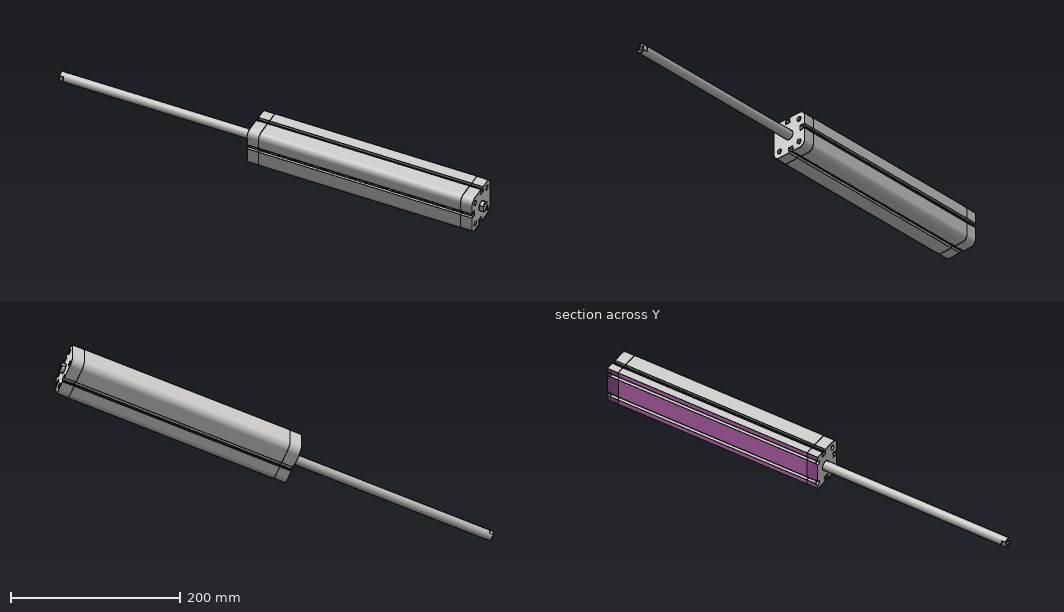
import cadquery as cq

rod_reach = 256.0
cap_length = 15.0
profile_length = 265.0
drive_end_length = 5.5

width = 50.0
half_width = width / 2
profile_corner_radius = 8.0
cap_corner_radius = 8.5

slot_mouth_width = 5.5
slot_channel_width = 6.5
slot_lip = 4.0
slot_depth = 7.0
slot_offset = 2.5
slot_turns = (0, 90, 180)

screw_spacing = 31.5
screw_hole_diameter = 4.0
screw_head_diameter = 6.0
screw_head_depth = 3.5

rod_diameter = 12.0
rod_radius = rod_diameter / 2
flat_spacing = 9.5
tip_flat_length = 5.5
rod_chamfer = 0.5
center_hole_diameter = 5.5
center_hole_depth = 11.0

rod_tip_x = -rod_reach
front_cap_x = 0.0
profile_x = front_cap_x + cap_length
rear_cap_x = profile_x + profile_length
housing_end_x = rear_cap_x + cap_length
rod_end_x = housing_end_x + drive_end_length


def plane_at(x):
    """Plane facing +X, with local x along Y and local y along Z."""
    return cq.Workplane("YZ", origin=(x, 0, 0))


def top_slot(x, length):
    """Cutter along X for one undercut slot that opens at the top."""
    slot_floor = half_width - slot_depth
    channel_depth = slot_depth - slot_lip
    mouth_center = (slot_offset, half_width - slot_depth / 2)
    channel_center = (slot_offset, slot_floor + channel_depth / 2)
    mouth = plane_at(x).center(*mouth_center).rect(slot_mouth_width, slot_depth).extrude(length)
    channel = plane_at(x).center(*channel_center).rect(slot_channel_width, channel_depth).extrude(length)
    return mouth.union(channel)


def screw_cylinders(x, length, diameter):
    """Four cylinders along X on the screw pattern."""
    pattern = plane_at(x).rect(screw_spacing, screw_spacing, forConstruction=True).vertices()
    return pattern.circle(diameter / 2).extrude(length)


def slotted_block(x, length, corner_radius):
    """Rounded square bar along X with three slots, four screw holes and the rod bore."""
    block = plane_at(x).rect(width, width).extrude(length).edges("|X").fillet(corner_radius)
    for turn in slot_turns:
        block = block.cut(top_slot(x, length).rotate((0, 0, 0), (1, 0, 0), turn))
    block = block.cut(screw_cylinders(x, length, screw_hole_diameter))
    return block.cut(plane_at(x).circle(rod_radius).extrude(length))


def make_profile():
    """Long extruded housing between the two end caps."""
    return slotted_block(profile_x, profile_length, profile_corner_radius)


def make_end_cap(x, outer_face_x, inward):
    """End cap with screw head recesses sunk into its outer face; inward is +1 or -1 along X."""
    cap = slotted_block(x, cap_length, cap_corner_radius)
    return cap.cut(screw_cylinders(outer_face_x, inward * screw_head_depth, screw_head_diameter))


def flatted_trim(x, length):
    """Box that leaves two flats, facing +Y and -Y, on the rod stretch it covers."""
    return plane_at(x).rect(flat_spacing, rod_diameter).extrude(length)


def make_rod():
    """Round rod through the housing, flatted and chamfered at both ends, with a hole in its tip."""
    rod = plane_at(rod_tip_x).circle(rod_radius).extrude(rod_end_x - rod_tip_x)
    rod = rod.faces("<X or >X").chamfer(rod_chamfer)

    round_start_x = rod_tip_x + tip_flat_length
    round_stretch = plane_at(round_start_x).circle(rod_radius).extrude(housing_end_x - round_start_x)
    envelope = round_stretch.union(flatted_trim(rod_tip_x, tip_flat_length))
    envelope = envelope.union(flatted_trim(housing_end_x, drive_end_length))
    rod = rod.intersect(envelope)

    return rod.cut(plane_at(rod_tip_x).circle(center_hole_diameter / 2).extrude(center_hole_depth))


profile = make_profile()
end_caps = [
    make_end_cap(x, outer_face_x, inward)
    for x, outer_face_x, inward in ((front_cap_x, front_cap_x, 1), (rear_cap_x, housing_end_x, -1))
]
rod = make_rod()

result = cq.Compound.makeCompound([profile.val(), *[cap.val() for cap in end_caps], rod.val()])